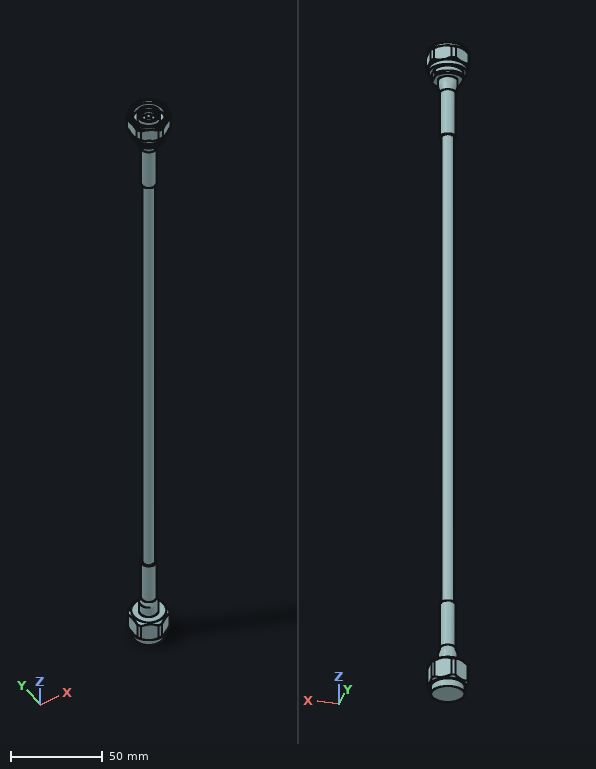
import cadquery as cq
import math

TOTAL_LENGTH = 401.5
LOWER_NUT_HEX_BOTTOM = 5.0
LOWER_NUT_TOP = 18.0
LOWER_COLLAR_TOP = 25.5
LOWER_TAPER_TOP = 28.5
SLEEVE_LENGTH = 27.7
UPPER_TAPER_BOTTOM = 376.0
UPPER_COLLAR_BOTTOM = 379.5
FLANGE_BOTTOM = 383.5
FLANGE_TOP = 385.2
UPPER_NUT_BOTTOM = 388.5
UPPER_NUT_HEX_BOTTOM = 391.3
UPPER_NUT_HEX_TOP = 399.5

CABLE_DIAMETER = 7.2
SLEEVE_DIAMETER = 9.0
COLLAR_DIAMETER = 11.0

LOWER_NUT_FLATS = 21.0
LOWER_NUT_CORNERS = 23.0
LOWER_NUT_FACE_DIAMETER = 19.3
LOWER_NUT_SKIRT_DIAMETER = 18.5
LOWER_NUT_BEVEL_DIAMETER = 20.0

UPPER_NUT_FLATS = 22.0
UPPER_NUT_CORNERS = 24.0
UPPER_NUT_BEVEL_DIAMETER = 22.5
UPPER_NUT_SKIRT_DIAMETER = 21.0
BODY_DIAMETER = 17.3
FLANGE_DIAMETER = 18.0
BODY_FLATS = 16.0

SOCKET_DIAMETER = 18.0
SOCKET_MOUTH_DIAMETER = 20.0
SOCKET_MOUTH_DEPTH = 1.0
SOCKET_DEPTH = 5.0
CONTACT_TUBE_DIAMETER = 12.5
CONTACT_TUBE_MOUTH_BORE = 10.5
CONTACT_TUBE_MOUTH_DEPTH = 2.0
CONTACT_TUBE_BORE = 8.5
CONTACT_TUBE_TIP_GAP = 0.5
PIN_DIAMETER = 3.05
PIN_TIP_GAP = 2.0


def cylinder(diameter, bottom, top):
    return cq.Workplane("XY").workplane(offset=bottom).circle(diameter / 2).extrude(top - bottom)


def cone(bottom_diameter, top_diameter, bottom, top):
    profile = [
        (0, bottom),
        (bottom_diameter / 2, bottom),
        (top_diameter / 2, top),
        (0, top),
    ]
    return cq.Workplane("XZ").polyline(profile).close().revolve(360, (0, 0), (0, 1))


def hexagon(flats, corners, bottom, top, bottom_face, top_face):
    """Hexagon with flats facing +X and -X, its corners rounded off and bevelled at 45 degrees."""
    lower_edge = bottom + (corners - bottom_face) / 2
    upper_edge = top - (corners - top_face) / 2
    sharp_corners = flats / math.cos(math.pi / 6)
    prism = (
        cq.Workplane("XY")
        .workplane(offset=bottom)
        .transformed(rotate=(0, 0, 90))
        .polygon(6, sharp_corners)
        .extrude(top - bottom)
    )
    envelope = (
        cone(bottom_face, corners, bottom, lower_edge)
        .union(cylinder(corners, lower_edge, upper_edge))
        .union(cone(corners, top_face, upper_edge, top))
    )
    return prism.intersect(envelope)


def make_cable():
    return cylinder(CABLE_DIAMETER, LOWER_TAPER_TOP, UPPER_TAPER_BOTTOM)


def make_sleeve(bottom):
    top = bottom + SLEEVE_LENGTH
    return cylinder(SLEEVE_DIAMETER, bottom, top).cut(cylinder(CABLE_DIAMETER, bottom, top))


def make_lower_connector():
    skirt = cylinder(LOWER_NUT_SKIRT_DIAMETER, 0, LOWER_NUT_HEX_BOTTOM)
    nut = hexagon(
        LOWER_NUT_FLATS,
        LOWER_NUT_CORNERS,
        LOWER_NUT_HEX_BOTTOM,
        LOWER_NUT_TOP,
        LOWER_NUT_BEVEL_DIAMETER,
        LOWER_NUT_FACE_DIAMETER,
    )
    collar = cylinder(COLLAR_DIAMETER, LOWER_NUT_TOP, LOWER_COLLAR_TOP)
    taper = cone(COLLAR_DIAMETER, SLEEVE_DIAMETER, LOWER_COLLAR_TOP, LOWER_TAPER_TOP)
    return skirt.union(nut).union(collar).union(taper)


def make_flatted_body():
    """Round body with a flange at its foot and two wrench flats facing +X and -X."""
    flange = cylinder(FLANGE_DIAMETER, FLANGE_BOTTOM, FLANGE_TOP)
    body = cylinder(BODY_DIAMETER, FLANGE_TOP, UPPER_NUT_BOTTOM)
    height = UPPER_NUT_BOTTOM - FLANGE_BOTTOM
    flats = (
        cq.Workplane("XY")
        .workplane(offset=FLANGE_BOTTOM)
        .rect(BODY_FLATS, FLANGE_DIAMETER)
        .extrude(height)
    )
    return flange.union(body).intersect(flats)


def make_socket():
    """Recess of the mating end, with its contact tube and centre pin left standing."""
    floor = TOTAL_LENGTH - SOCKET_DEPTH
    tube_tip = TOTAL_LENGTH - CONTACT_TUBE_TIP_GAP
    mouth_bottom = TOTAL_LENGTH - SOCKET_MOUTH_DEPTH
    mouth = cone(SOCKET_DIAMETER, SOCKET_MOUTH_DIAMETER, mouth_bottom, TOTAL_LENGTH)
    recess = cylinder(SOCKET_DIAMETER, floor, TOTAL_LENGTH).union(mouth)
    tube = (
        cylinder(CONTACT_TUBE_DIAMETER, floor, tube_tip)
        .cut(cylinder(CONTACT_TUBE_BORE, floor, tube_tip))
        .cut(cylinder(CONTACT_TUBE_MOUTH_BORE, tube_tip - CONTACT_TUBE_MOUTH_DEPTH, tube_tip))
    )
    pin = cylinder(PIN_DIAMETER, floor, TOTAL_LENGTH - PIN_TIP_GAP)
    return recess.cut(tube).cut(pin)


def make_upper_connector():
    taper = cone(SLEEVE_DIAMETER, COLLAR_DIAMETER, UPPER_TAPER_BOTTOM, UPPER_COLLAR_BOTTOM)
    collar = cylinder(COLLAR_DIAMETER, UPPER_COLLAR_BOTTOM, FLANGE_BOTTOM)
    skirt = cylinder(UPPER_NUT_SKIRT_DIAMETER, UPPER_NUT_BOTTOM, UPPER_NUT_HEX_BOTTOM)
    nut = hexagon(
        UPPER_NUT_FLATS,
        UPPER_NUT_CORNERS,
        UPPER_NUT_HEX_BOTTOM,
        UPPER_NUT_HEX_TOP,
        UPPER_NUT_BEVEL_DIAMETER,
        UPPER_NUT_BEVEL_DIAMETER,
    )
    lip = cylinder(UPPER_NUT_FLATS, UPPER_NUT_HEX_TOP, TOTAL_LENGTH)
    solid = taper.union(collar).union(make_flatted_body()).union(skirt).union(nut).union(lip)
    return solid.cut(make_socket())


cable = make_cable()
sleeves = [make_sleeve(bottom) for bottom in (LOWER_TAPER_TOP, UPPER_TAPER_BOTTOM - SLEEVE_LENGTH)]
lower_connector = make_lower_connector()
upper_connector = make_upper_connector()

result = cq.Compound.makeCompound(
    [cable.val(), *[sleeve.val() for sleeve in sleeves], lower_connector.val(), upper_connector.val()]
)